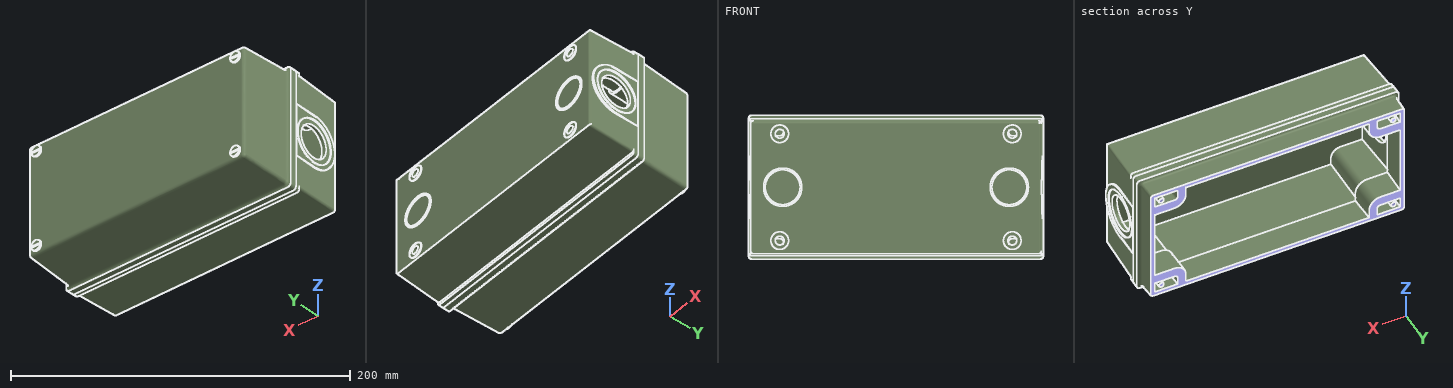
import cadquery as cq
import math


LENGTH = 174.0
HEIGHT = 85.0
FLANGE_STEP = 2.1
WALL_HEIGHT = HEIGHT - 2 * FLANGE_STEP
WALL = 3.0
DRAFT = 2.0

BASE_DEPTH = 37.0
BASE_FLANGE_DEPTH = 3.3
BASE_EDGE_RADIUS = 1.5

LID_LENGTH = LENGTH - 2 * FLANGE_STEP
LID_DEPTH = 43.2
LID_FLANGE_DEPTH = 4.9
LID_EDGE_RADIUS = 2.1
FLANGE_CORNER_RADIUS = 2.1
LID_FOOT_RADIUS = 0.95 * FLANGE_STEP

MOUNT_X = 68.5
MOUNT_Z = 31.5
MOUNT_PAD_DIAMETER = 10.5
MOUNT_PAD_HEIGHT = 0.5
MOUNT_HOLE_DIAMETER = 5.2

BASE_COLUMN_RADIUS = 6.5
LID_COLUMN_RADIUS = 7.8
LID_HOLLOW_INNER_X = 66.5
LID_HOLLOW_INNER_Z = 30.5
LID_HOLLOW_RADIUS = 1.7

KNOCKOUT_X = 66.8
KNOCKOUT_OUTER_DIAMETER = 22.6
KNOCKOUT_INNER_DIAMETER = 20.5
KNOCKOUT_GROOVE_DEPTH = 0.5

ENTRY_Y = -16.9
ENTRY_HOLE_DIAMETER = 22.6
ENTRY_RECESS_DIAMETER = 30.1
ENTRY_RECESS_DEPTH = 0.7
ENTRY_PAD_RADIUS = 18.3
ENTRY_PAD_START_Y = -0.5

SCREW_X = 77.0
SCREW_Z = 33.4
SCREW_HEAD_DIAMETER = 7.1
SCREW_HEAD_HEIGHT = 1.0
SCREW_SHANK_DIAMETER = 3.5
SCREW_TIP_Y = -8.7
SCREW_SLOT_WIDTH = 0.5

SIDES = (-1, 1)
CORNERS = [(x_side, z_side) for x_side in SIDES for z_side in SIDES]


def at_corners(x, z):
    """The four places (+-x, +-z)."""
    return [(x_side * x, z_side * z) for x_side, z_side in CORNERS]


def drafted_block(length, height, start_y, end_y):
    """Block along Y that narrows from start_y to end_y by the draft angle."""
    shrink = 2 * abs(end_y - start_y) * math.tan(math.radians(DRAFT))
    return (
        cq.Workplane("XZ", origin=(0, start_y, 0))
        .rect(length, height)
        .workplane(offset=start_y - end_y)
        .rect(length - shrink, height - shrink)
        .loft(ruled=True)
    )


def round_corners(block, radius):
    """Round the four edges of a block that run along Y, drafted or not."""
    return block.edges("not(|X or |Z)").fillet(radius)


def cylinder_y(diameter, x, z, start_y, end_y):
    return cq.Workplane("XZ", origin=(x, start_y, z)).circle(diameter / 2).extrude(start_y - end_y)


def corner_block(x_side, z_side, inner_x, inner_z, radius, end_y):
    """Block from the parting plane to end_y in a corner of the box, with its inner edge rounded."""
    size_x = LENGTH / 2 - inner_x
    size_z = HEIGHT / 2 - inner_z
    centre = (x_side * (inner_x + size_x / 2), 0, z_side * (inner_z + size_z / 2))
    block = cq.Workplane("XZ", origin=centre).rect(size_x, size_z).extrude(-end_y)
    inner_edge = ("<X" if x_side > 0 else ">X") + " and " + ("<Z" if z_side > 0 else ">Z")
    return block.edges("|Y").edges(inner_edge).fillet(radius)


def corner_column(x_side, z_side, radius, end_y):
    """Corner block rounded about the mounting hole axis."""
    return corner_block(x_side, z_side, MOUNT_X - radius, MOUNT_Z - radius, radius, end_y)



def base_outside():
    block = drafted_block(LENGTH, WALL_HEIGHT, 0, -BASE_DEPTH)
    floor_rounded = block.faces("<Y").edges(">Z or >X").fillet(BASE_EDGE_RADIUS)
    body = round_corners(block, BASE_EDGE_RADIUS).intersect(floor_rounded)
    flange = round_corners(drafted_block(LENGTH, HEIGHT, 0, -BASE_FLANGE_DEPTH), FLANGE_CORNER_RADIUS)
    return body.union(flange)


def base_cavity(floor_y):
    cavity = drafted_block(LENGTH - 2 * WALL, WALL_HEIGHT - 2 * WALL, 0, floor_y)
    for x_side, z_side in CORNERS:
        cavity = cavity.cut(corner_column(x_side, z_side, BASE_COLUMN_RADIUS, floor_y))
    return cavity


def knockout_groove(x):
    groove_y = KNOCKOUT_GROOVE_DEPTH - BASE_DEPTH
    disc = cylinder_y(KNOCKOUT_OUTER_DIAMETER, x, 0, groove_y, -BASE_DEPTH)
    return disc.cut(cylinder_y(KNOCKOUT_INNER_DIAMETER, x, 0, groove_y, -BASE_DEPTH))


def entry_pad(side):
    """Flat pad around a cable entry: straight at the flange, round towards the floor."""
    return (
        cq.Workplane("YZ", origin=(side * (LENGTH / 2 - WALL), 0, 0))
        .moveTo(ENTRY_PAD_START_Y, ENTRY_PAD_RADIUS)
        .lineTo(ENTRY_Y, ENTRY_PAD_RADIUS)
        .threePointArc((ENTRY_Y - ENTRY_PAD_RADIUS, 0), (ENTRY_Y, -ENTRY_PAD_RADIUS))
        .lineTo(ENTRY_PAD_START_Y, -ENTRY_PAD_RADIUS)
        .close()
        .extrude(side * WALL)
    )


def entry_bore(side, diameter, depth):
    """Round bore into an end wall, measured inwards from the pad face."""
    pad_face = cq.Workplane("YZ", origin=(side * LENGTH / 2, ENTRY_Y, 0))
    return pad_face.circle(diameter / 2).extrude(-side * depth)


def make_base():
    floor_y = WALL - BASE_DEPTH
    pad_y = -BASE_DEPTH - MOUNT_PAD_HEIGHT
    base = base_outside().cut(base_cavity(floor_y))

    for x, z in at_corners(MOUNT_X, MOUNT_Z):
        base = base.union(cylinder_y(MOUNT_PAD_DIAMETER, x, z, floor_y, pad_y))
        base = base.cut(cylinder_y(MOUNT_HOLE_DIAMETER, x, z, 0, pad_y))

    for x, z in at_corners(SCREW_X, SCREW_Z):
        base = base.cut(cylinder_y(SCREW_SHANK_DIAMETER, x, z, 0, SCREW_TIP_Y))

    for side in SIDES:
        base = base.cut(knockout_groove(side * KNOCKOUT_X))
        base = base.union(entry_pad(side))
        base = base.cut(entry_bore(side, ENTRY_RECESS_DIAMETER, ENTRY_RECESS_DEPTH))
        base = base.cut(entry_bore(side, ENTRY_HOLE_DIAMETER, 2 * WALL))
    return base



def lid_outside():
    body = drafted_block(LID_LENGTH, WALL_HEIGHT, LID_FLANGE_DEPTH, LID_DEPTH)
    body = round_corners(body, LID_EDGE_RADIUS)
    body = body.faces(">Y").edges().fillet(LID_EDGE_RADIUS)
    flange = cq.Workplane("XZ").rect(LENGTH, HEIGHT).extrude(-LID_FLANGE_DEPTH)
    outside = round_corners(flange, FLANGE_CORNER_RADIUS).union(body)

    margin = FLANGE_STEP / 10
    half_length = LID_LENGTH / 2 + margin
    half_height = WALL_HEIGHT / 2 + margin
    foot_region = cq.selectors.BoxSelector(
        (-half_length, LID_FLANGE_DEPTH - margin, -half_height),
        (half_length, LID_FLANGE_DEPTH + margin, half_height),
    )
    return outside.edges(foot_region).fillet(LID_FOOT_RADIUS)


def lid_cavity(roof_y):
    cavity = drafted_block(LID_LENGTH - 2 * WALL, WALL_HEIGHT - 2 * WALL, 0, roof_y)
    for x_side, z_side in CORNERS:
        column = corner_column(x_side, z_side, LID_COLUMN_RADIUS, roof_y)
        hollow = corner_block(
            x_side, z_side, LID_HOLLOW_INNER_X, LID_HOLLOW_INNER_Z, LID_HOLLOW_RADIUS, roof_y)
        cavity = cavity.cut(column.cut(hollow))
    return cavity


def make_lid():
    lid = lid_outside().cut(lid_cavity(LID_DEPTH - WALL))
    for x, z in at_corners(SCREW_X, SCREW_Z):
        lid = lid.cut(cylinder_y(SCREW_SHANK_DIAMETER, x, z, 0, LID_DEPTH))
    return lid



def make_screw(x, z):
    """Screw with its head on the back of the lid and its tip in a base column."""
    head_y = LID_DEPTH + SCREW_HEAD_HEIGHT
    shank = cylinder_y(SCREW_SHANK_DIAMETER, x, z, SCREW_TIP_Y, LID_DEPTH)
    head = cylinder_y(SCREW_HEAD_DIAMETER, x, z, LID_DEPTH, head_y)
    slot = cq.Workplane("XZ", origin=(x, head_y, z)).rect(SCREW_HEAD_DIAMETER, SCREW_SLOT_WIDTH)
    return shank.union(head).cut(slot.extrude(SCREW_HEAD_HEIGHT))


base = make_base()
lid = make_lid()
screws = [make_screw(x, z) for x, z in at_corners(SCREW_X, SCREW_Z)]

result = cq.Compound.makeCompound([base.val(), lid.val(), *[screw.val() for screw in screws]])